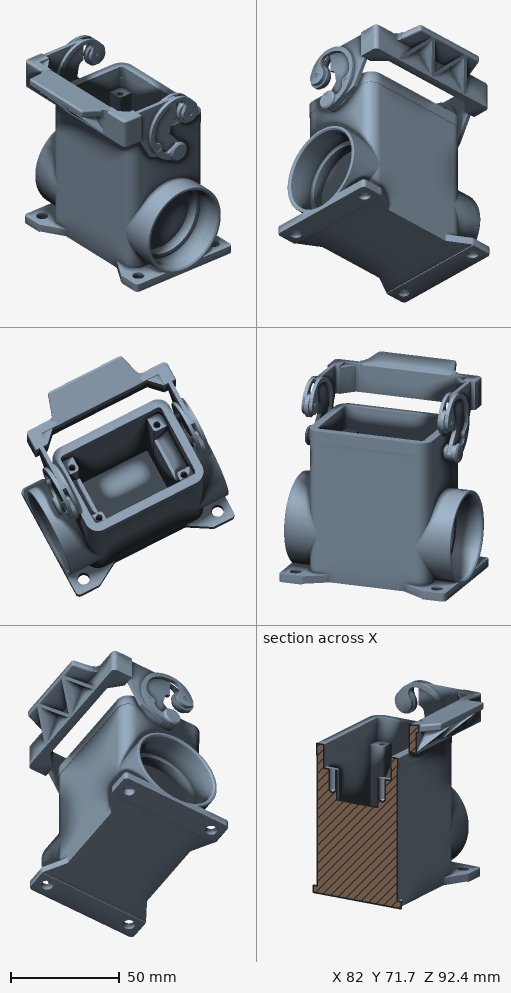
import cadquery as cq
import math

overall_depth = 71.7
overall_height = 92.4

base_half_x = 82.0 / 2
base_half_y = 56.8 / 2
base_thickness = 4.0
base_corner_radius = 1.85
ear_half_x = 29.6
ear_tip_x = 18.3
ear_tip_radius = 2.0
mount_hole_diameter = 5.5
mount_hole_x = 34.75
mount_hole_y = 22.5

body_half_x = 29.9
body_half_y = 21.7
body_bottom_z = 0.4
body_corner_radius = 6.1
collar_half_x = 30.0
collar_half_y = 22.0
collar_bottom_z = 67.1
body_top_z = 72.8

cavity_half_x = 26.2
cavity_half_y = 17.9
cavity_floor_z = base_thickness
cavity_corner_radius = 1.7
cavity_step = 0.1
lower_half_x = cavity_half_x + cavity_step
lower_half_y = cavity_half_y + cavity_step
lower_corner_radius = 2.6
post_inner_x = 19.3
post_inner_y = 10.9
post_top_z = 61.55
post_edge_radius = 1.4
screw_hole_x = 22.0
screw_hole_y = 13.4
screw_hole_diameter = 3.2
screw_hole_depth = 11.1
drill_tip_height = 0.9
ledge_z = 46.2
ledge_outer_x = 20.8
ledge_slope_angle = 45.0

hub_radius = body_half_y
hub_center_z = 22.55
hub_edge_radius = 0.5
hub_bore_radius = 19.9
hub_bore_chamfer = 0.65
hub_bore_end_x = 28.0
hub_inner_radius = 17.5
hub_floor_x = 22.7

pivot_z = 62.75
pin_radius = 2.6
pin_gap = 0.9
pin_head_radius = 4.6
pin_head_chamfer = 0.7
pin_head_end_x = 37.5

cheek_inner_x = 30.9
plate_inner_x = 32.4
plate_outer_x = 34.3
cheek_outer_x = 36.0
hook_center_z = 74.95
hook_outer_radius = 15.9
hook_inner_radius = 13.7
pivot_boss_radius = pivot_z - (hook_center_z - hook_outer_radius)
roller_y = 7.6
roller_z = 80.0
roller_radius = 5.5
roller_boss_radius = 4.3
rivet_y = -11.5
rivet_z = 68.2
rivet_boss_radius = 2.4
rivet_radius = 1.3
rivet_height = 0.3
hook_top_z = hook_center_z + hook_outer_radius
hook_bottom_z = hook_center_z - hook_outer_radius

handle_half_x = 36.4
handle_arm_inner_x = 30.3
plate_top_z = 90.5
handle_top_z = 90.3
handle_bottom_z = 76.7
handle_back_y = -22.0
handle_inner_y = -27.8
handle_front_y = -32.0
handle_corner_radius = 2.1
handle_top_radius = 0.9
gusset_drop = 0.9
gusset_reach = handle_back_y - handle_inner_y

tab_root_half_x = 21.9
tab_tip_half_x = 18.9
tab_tip_y = base_half_y - overall_depth
tab_thickness = 3.7
tab_tilt = 10.0
tab_corner_radius = 1.3
tab_edge_radius = 0.9
tab_root_radius = 1.85
tab_slope = math.tan(math.radians(tab_tilt))
tab_tip_top_z = overall_height + tab_edge_radius * (tab_slope + math.hypot(1, tab_slope) - 1)

rib_width = 1.4
rib_pitch = 10.35
rib_bottom_z = 77.6
rib_top_z = 88.7


def both_ends(solid):
    """The +X solid together with its mirror image at -X."""
    return solid.union(solid.mirror("YZ"))


def slab(outline, x_start, x_end):
    """Extrude a closed Y-Z outline between two X positions."""
    return outline.extrude(x_end - x_start).translate((x_start, 0, 0))


def rod(y, z, radius, x_start, x_end):
    """A cylinder along X."""
    return slab(cq.Workplane("YZ").center(y, z).circle(radius), x_start, x_end)


def block(half_x, half_y, z_bottom, z_top, corner_radius):
    """A box centred on Z with rounded vertical edges."""
    height = z_top - z_bottom
    box = cq.Workplane("XY").box(2 * half_x, 2 * half_y, height, centered=(True, True, False))
    return box.edges("|Z").fillet(corner_radius).translate((0, 0, z_bottom))


def make_base():
    quarter = [(base_half_x, base_half_y), (ear_half_x, base_half_y), (ear_tip_x, body_half_y)]
    left = [(-x, y) for x, y in reversed(quarter)]
    upper = quarter + left
    lower = [(x, -y) for x, y in reversed(upper)]
    base = cq.Workplane("XY").polyline(upper + lower).close().extrude(base_thickness)
    base = base.edges("|Z and (not (<Y or >Y))").fillet(ear_tip_radius)
    base = base.edges("|Z and (<Y or >Y)").fillet(base_corner_radius)
    relief = (
        cq.Workplane("XY")
        .rect(2 * ear_half_x, 2 * base_half_y)
        .extrude(body_bottom_z)
    )
    holes = (
        cq.Workplane("XY")
        .rect(2 * mount_hole_x, 2 * mount_hole_y, forConstruction=True)
        .vertices()
        .circle(mount_hole_diameter / 2)
        .extrude(base_thickness)
    )
    return base.cut(relief).cut(holes)


def make_hub():
    hub = rod(0, hub_center_z, hub_radius, 0, base_half_x)
    return hub.faces(">X").edges().fillet(hub_edge_radius)


def make_hub_bore():
    """Stepped blind bore with a chamfered mouth, turned about the hub axis."""
    profile = [
        (hub_floor_x, 0),
        (hub_floor_x, hub_inner_radius),
        (hub_bore_end_x, hub_inner_radius),
        (hub_bore_end_x, hub_bore_radius),
        (base_half_x - hub_bore_chamfer, hub_bore_radius),
        (base_half_x, hub_bore_radius + hub_bore_chamfer),
        (base_half_x, 0),
    ]
    bore = cq.Workplane("XZ").polyline(profile).close().revolve(360, (0, 0, 0), (1, 0, 0))
    return bore.translate((0, 0, hub_center_z))


def make_screw_hole():
    """Blind hole with a conical drill tip."""
    radius = screw_hole_diameter / 2
    profile = [
        (0, 0),
        (radius, 0),
        (radius, drill_tip_height - screw_hole_depth),
        (0, -screw_hole_depth),
    ]
    hole = cq.Workplane("XZ").polyline(profile).close().revolve(360, (0, 0, 0), (0, 1, 0))
    return hole.translate((screw_hole_x, screw_hole_y, post_top_z))


def make_posts():
    width = lower_half_x - post_inner_x
    depth = lower_half_y - post_inner_y
    post = (
        cq.Workplane("XY")
        .box(width, depth, post_top_z - cavity_floor_z, centered=False)
        .edges("|Z and <X and <Y")
        .fillet(post_edge_radius)
        .translate((post_inner_x, post_inner_y, cavity_floor_z))
    )
    post = post.cut(make_screw_hole())
    return both_ends(post.union(post.mirror("XZ")))


def make_ledge():
    slope_height = (lower_half_x - ledge_outer_x) * math.tan(math.radians(ledge_slope_angle))
    profile = [
        (post_inner_x, cavity_floor_z),
        (post_inner_x, ledge_z),
        (ledge_outer_x, ledge_z),
        (lower_half_x, ledge_z + slope_height),
        (lower_half_x, cavity_floor_z),
    ]
    ledge = cq.Workplane("XZ").polyline(profile).close().extrude(post_inner_y, both=True)
    return both_ends(ledge)


def make_housing():
    body = block(body_half_x, body_half_y, body_bottom_z, collar_bottom_z, body_corner_radius)
    collar = block(collar_half_x, collar_half_y, collar_bottom_z, body_top_z, body_corner_radius)
    lower_cavity = block(lower_half_x, lower_half_y, cavity_floor_z, collar_bottom_z, lower_corner_radius)
    upper_cavity = block(cavity_half_x, cavity_half_y, collar_bottom_z, body_top_z, cavity_corner_radius)
    cavity = lower_cavity.union(upper_cavity).cut(make_posts()).cut(make_ledge())
    housing = body.union(collar).union(make_base()).union(both_ends(make_hub()))
    return housing.cut(cavity).cut(both_ends(make_hub_bore()))


def on_circle(center, radius, degrees):
    """Point on a circle in the Y-Z plane, the angle counted from +Y towards +Z."""
    angle = math.radians(degrees)
    return (center[0] + radius * math.cos(angle), center[1] + radius * math.sin(angle))


def make_cheek_outline():
    """Hook from the roller, over the top and down to the pivot, in the Y-Z plane."""
    hook = (0, hook_center_z)
    roller = (roller_y, roller_z)
    rivet = (rivet_y, rivet_z)
    roller_tip_start = on_circle(roller, roller_boss_radius, 17)
    return (
        cq.Workplane("YZ")
        .moveTo(*roller_tip_start)
        .lineTo(10.4, 84.4)
        .threePointArc((6.7, 88.6), (0, hook_top_z))
        .threePointArc((-hook_outer_radius, hook_center_z), (0, hook_bottom_z))
        .threePointArc((pivot_boss_radius, pivot_z), (0, pivot_z + pivot_boss_radius))
        .lineTo(-5.4, 63.5)
        .threePointArc((-8.3, 65.0), on_circle(rivet, rivet_boss_radius, -28))
        .threePointArc(on_circle(rivet, rivet_boss_radius, 31), on_circle(rivet, rivet_boss_radius, 90))
        .lineTo(-12.8, 71.7)
        .lineTo(*on_circle(hook, hook_inner_radius, 188))
        .threePointArc(on_circle(hook, hook_inner_radius, 135), on_circle(hook, hook_inner_radius, 90))
        .lineTo(1.8, hook_center_z + hook_inner_radius)
        .threePointArc((4.1, 87.6), (5.0, 84.75))
        .lineTo(*on_circle(roller, roller_boss_radius, 141))
        .threePointArc(on_circle(roller, roller_boss_radius, 259), roller_tip_start)
        .close()
    )


def make_plate_outline():
    """Middle plate that joins the handle to the pivot, in the Y-Z plane."""
    boss_diagonal = pivot_boss_radius / math.sqrt(2)
    return (
        cq.Workplane("YZ")
        .moveTo(0.4, plate_top_z)
        .lineTo(handle_back_y, plate_top_z)
        .lineTo(handle_back_y, handle_bottom_z)
        .lineTo(-15.6, 65.25)
        .threePointArc((-15.25, 64.6), (-14.5, 64.2))
        .lineTo(-10.1, 62.5)
        .lineTo(-3.7, 59.5)
        .lineTo(0, hook_bottom_z)
        .threePointArc((boss_diagonal, pivot_z - boss_diagonal), (pivot_boss_radius, pivot_z))
        .lineTo(1.3, 67.1)
        .lineTo(-3.4, 72.4)
        .lineTo(-2.6, 77.1)
        .threePointArc((-1.5, 79.0), (0.4, 79.8))
        .close()
    )


def make_arm():
    arm = slab(make_plate_outline(), plate_inner_x, plate_outer_x)
    arm = arm.union(slab(make_cheek_outline(), cheek_inner_x, plate_inner_x))
    arm = arm.union(slab(make_cheek_outline(), plate_outer_x, cheek_outer_x))
    arm = arm.union(rod(roller_y, roller_z, roller_radius, plate_inner_x, plate_outer_x))
    for y, z in [(roller_y, roller_z), (rivet_y, rivet_z)]:
        arm = arm.union(rod(y, z, rivet_radius, cheek_inner_x - rivet_height, cheek_inner_x))
        arm = arm.cut(rod(y, z, rivet_radius, cheek_outer_x - rivet_height, cheek_outer_x))
    head = rod(0, pivot_z, pin_head_radius, cheek_outer_x, pin_head_end_x)
    head = head.faces(">X").edges().chamfer(pin_head_chamfer)
    return arm.union(head).union(rod(0, pivot_z, pin_radius, cavity_half_x + pin_gap, cheek_outer_x))


def tab_top_z(y):
    """Height of the tilted tab's upper face at a given Y."""
    return tab_tip_top_z - (y - tab_tip_y) * tab_slope


def make_tab():
    flare_x = tab_root_half_x + tab_root_radius
    flare_end_y = handle_front_y - tab_root_radius
    half_plan = [
        (tab_root_half_x, handle_inner_y),
        (tab_root_half_x, flare_end_y),
        (tab_tip_half_x, tab_tip_y),
    ]
    mirrored_plan = [(-x, y) for x, y in reversed(half_plan)]
    plan = cq.Workplane("XY").polyline(half_plan + mirrored_plan).close().extrude(2 * handle_top_z)
    plan = plan.edges("|Z and <Y").fillet(tab_corner_radius)
    flare = (
        cq.Workplane("XY")
        .rect(2 * flare_x, 2 * tab_root_radius)
        .extrude(2 * handle_top_z)
        .translate((0, handle_front_y, 0))
    )
    flare_rounds = (
        cq.Workplane("XY")
        .pushPoints([(-flare_x, flare_end_y), (flare_x, flare_end_y)])
        .circle(tab_root_radius)
        .extrude(2 * handle_top_z)
    )
    root_top = tab_top_z(handle_inner_y)
    side = [
        (handle_inner_y, root_top),
        (tab_tip_y, tab_tip_top_z),
        (tab_tip_y, tab_tip_top_z - tab_thickness),
        (handle_inner_y, root_top - tab_thickness),
    ]
    strip = cq.Workplane("YZ").polyline(side).close().extrude(flare_x, both=True)
    tab = plan.intersect(strip)
    tab = tab.faces("<Y").edges(">Z or <Z").fillet(tab_edge_radius)
    return tab.union(flare.cut(flare_rounds).intersect(strip))


def make_handle():
    height = handle_top_z - handle_bottom_z
    width = 2 * handle_half_x
    depth = handle_back_y - handle_front_y
    bridge = cq.Workplane("XY").box(width, depth, height, centered=(True, False, False))
    bridge = bridge.translate((0, handle_front_y, handle_bottom_z))
    bridge = bridge.edges("|Z and <Y").fillet(handle_corner_radius)
    bridge = bridge.faces(">Z").edges("not >Y").fillet(handle_top_radius)
    opening = (
        cq.Workplane("XY", origin=(0, 0, handle_bottom_z))
        .rect(2 * handle_arm_inner_x, -2 * handle_inner_y)
        .extrude(height)
    )
    gusset = (
        cq.Workplane("XY", origin=(handle_arm_inner_x, handle_inner_y, handle_bottom_z))
        .polyline([(0, 0), (-gusset_reach, 0), (0, gusset_reach)])
        .close()
        .extrude(height - gusset_drop)
    )
    notch = (
        cq.Workplane("YZ")
        .polyline(
            [
                (handle_inner_y, tab_top_z(handle_inner_y)),
                (handle_front_y, tab_top_z(handle_front_y)),
                (handle_front_y, overall_height),
                (handle_inner_y, overall_height),
            ]
        )
        .close()
        .extrude(tab_root_half_x, both=True)
    )
    return bridge.cut(opening).union(both_ends(gusset)).cut(notch)


def make_ribs():
    """Four diagonal webs in a zigzag, cut off at 45 degrees towards the wall."""
    rise = rib_top_z - rib_bottom_z
    half = rib_width / math.sqrt(2)
    lean = [(0, 0), (rib_pitch, rise), (rib_pitch + 2 * half, rise), (2 * half, 0)]
    rib = (
        cq.Workplane("XZ", origin=(-half, handle_front_y, rib_bottom_z))
        .polyline(lean)
        .close()
        .extrude(rise)
    )
    outer_rib = rib.mirror("YZ").translate((2 * rib_pitch, 0, 0))
    envelope = (
        cq.Workplane("YZ")
        .polyline(
            [
                (handle_front_y, rib_bottom_z),
                (handle_front_y, rib_top_z),
                (handle_front_y - rise, rib_top_z),
            ]
        )
        .close()
        .extrude(base_half_x, both=True)
    )
    return both_ends(rib.union(outer_rib)).intersect(envelope)


lever = both_ends(make_arm()).union(make_handle()).union(make_tab()).union(make_ribs())
result = make_housing().union(lever)